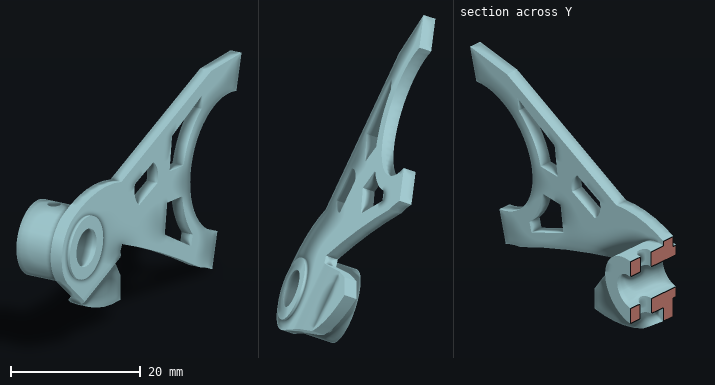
import cadquery as cq
import math

overall_length = 54.0
plate_thickness = 2.0
collar_length = 6.5
collar_radius = 6.0
rear_boss_length = 0.55
rear_boss_radius = 5.0
bore_radius = 3.0
pin_hole_radius = 1.1
pin_hole_offset = 3.45
pin_hole_tilt = 2.6

fork_y = 43.05
fork_inner_radius = 11.0
fork_outer_radius = 17.0
mouth_tilt = 15.0
window_arc_radius = 13.5
lower_window_corners = [(25.1, -0.95), (24.4, -6.0), (32.3, -10.55)]
lower_window_angles = (186.0, 220.5)
upper_window_corners = [(25.8, 4.0), (26.55, 9.55), (35.7, 13.35)]
upper_window_angles = (164.7, 124.3)

end_start_angle = 116.0
end_finish_angle = 226.0
shoulder = (11.4, 7.0)
shoulder_arc_middle = (4.65, 7.8)
top_corner_y = 38.35

arm_edge_start = (35.0, -14.9)
arm_edge_middle = (21.6, -7.8)
notch_top = (11.6, -3.35)

notch_corner = (11.0, -4.45)
bend_end = (-0.3, -8.5)
hook_outer_start = (2.45, -10.65)
hook_arc_middle = (8.05, -13.0)
hook_tip = (14.3, -13.75)
hook_shoulder = (14.3, -9.85)
inner_bend_radius = 0.5
bend_angle = 45.0
hook_offset = 1.9

slot_center = (18.85, 4.25)
slot_radius = 3.55
slot_width = 4.05
slot_tilt = 18.0


def polar(center_y, radius, angle):
    """Point (y, z) at an angle from +Y, around a centre on the Y axis."""
    turn = math.radians(angle)
    return (center_y + radius * math.cos(turn), radius * math.sin(turn))


def prism(x_start, x_end, outline):
    """Extrude a closed YZ outline along X; outline draws on the given workplane."""
    return outline(cq.Workplane("YZ", origin=(x_start, 0, 0))).extrude(x_end - x_start)


def cylinder(x_start, x_end, radius):
    return prism(x_start, x_end, lambda plane: plane.circle(radius))


upper_mouth_angle = 90 - mouth_tilt
lower_mouth_angle = upper_mouth_angle - 180
upper_tip = polar(fork_y, fork_outer_radius, upper_mouth_angle)
lower_tip = polar(fork_y, fork_outer_radius, lower_mouth_angle)
end_radius = overall_length - upper_tip[0]


def body_outline(plane):
    end_middle_angle = (end_start_angle + end_finish_angle) / 2
    return (
        plane.moveTo(*upper_tip)
        .lineTo(top_corner_y, upper_tip[1])
        .lineTo(*shoulder)
        .threePointArc(shoulder_arc_middle, polar(0, end_radius, end_start_angle))
        .threePointArc(polar(0, end_radius, end_middle_angle), polar(0, end_radius, end_finish_angle))
        .lineTo(*bend_end)
        .lineTo(*notch_corner)
        .lineTo(*notch_top)
        .threePointArc(arm_edge_middle, arm_edge_start)
        .radiusArc(lower_tip, fork_outer_radius)
        .lineTo(*polar(fork_y, fork_inner_radius, lower_mouth_angle))
        .threePointArc(
            (fork_y - fork_inner_radius, 0),
            polar(fork_y, fork_inner_radius, upper_mouth_angle),
        )
        .close()
    )


def hook_outline(plane):
    return (
        plane.moveTo(*notch_corner)
        .lineTo(*bend_end)
        .lineTo(*hook_outer_start)
        .threePointArc(hook_arc_middle, hook_tip)
        .lineTo(*hook_shoulder)
        .close()
    )


def bent_sheet():
    """Endless bent strip whose bend lines run along the upper edge of the hook."""
    t = plate_thickness
    inner = inner_bend_radius
    outer = inner + t
    sine = math.sin(math.radians(bend_angle))
    cosine = math.cos(math.radians(bend_angle))
    rise = hook_offset - (inner + outer) * (1 - cosine)
    run = (inner + outer) * sine + rise / math.tan(math.radians(bend_angle))
    back = t - hook_offset
    sheet_reach = 21.6

    along = cq.Vector(0, bend_end[0] - notch_corner[0], bend_end[1] - notch_corner[1]).normalized()
    down = cq.Vector(1, 0, 0).cross(along)
    plane = cq.Plane(origin=(0, *notch_corner), xDir=down, normal=along)
    return (
        cq.Workplane(plane)
        .lineTo(0, t)
        .radiusArc((outer * sine, t - outer * (1 - cosine)), outer)
        .lineTo(run - inner * sine, back + inner * (1 - cosine))
        .radiusArc((run, back), -inner)
        .lineTo(sheet_reach, back)
        .lineTo(sheet_reach, -hook_offset)
        .lineTo(run, -hook_offset)
        .radiusArc((run - outer * sine, -hook_offset + outer * (1 - cosine)), outer)
        .lineTo(inner * sine, -inner * (1 - cosine))
        .radiusArc((0, 0), -inner)
        .close()
        .extrude(sheet_reach, both=True)
    )


def window(corners, start_angle, end_angle):
    """Opening with straight sides through the corners, closed by an arc around the fork centre."""
    middle_angle = (start_angle + end_angle) / 2
    arc_start = polar(fork_y, window_arc_radius, start_angle)
    arc_middle = polar(fork_y, window_arc_radius, middle_angle)
    arc_end = polar(fork_y, window_arc_radius, end_angle)
    return prism(
        0,
        plate_thickness,
        lambda plane: plane.polyline([arc_start, *corners, arc_end])
        .threePointArc(arc_middle, arc_start)
        .close(),
    )


def slot():
    disc = prism(0, plate_thickness, lambda plane: plane.center(*slot_center).circle(slot_radius))
    band = prism(
        0,
        plate_thickness,
        lambda plane: plane.center(*slot_center)
        .transformed(rotate=(0, 0, slot_tilt))
        .rect(2 * slot_radius, slot_width),
    )
    return disc.intersect(band)


upper_window = window(upper_window_corners, *upper_window_angles)
lower_window = window(lower_window_corners, *lower_window_angles)
plate = prism(0, plate_thickness, body_outline).cut(upper_window).cut(lower_window).cut(slot())

hook = prism(-hook_offset, plate_thickness, hook_outline).intersect(bent_sheet())

rear_face = plate_thickness + rear_boss_length
collar = cylinder(-collar_length, 0, collar_radius)
rear_boss = cylinder(plate_thickness, rear_face, rear_boss_radius)
bore = cylinder(-collar_length, rear_face, bore_radius)
pin_hole = (
    cq.Workplane("XY")
    .center(-pin_hole_offset, 0)
    .transformed(rotate=(-pin_hole_tilt, 0, 0))
    .circle(pin_hole_radius)
    .extrude(2 * collar_radius, both=True)
)

result = plate.union(hook).union(collar).union(rear_boss).cut(bore).cut(pin_hole)